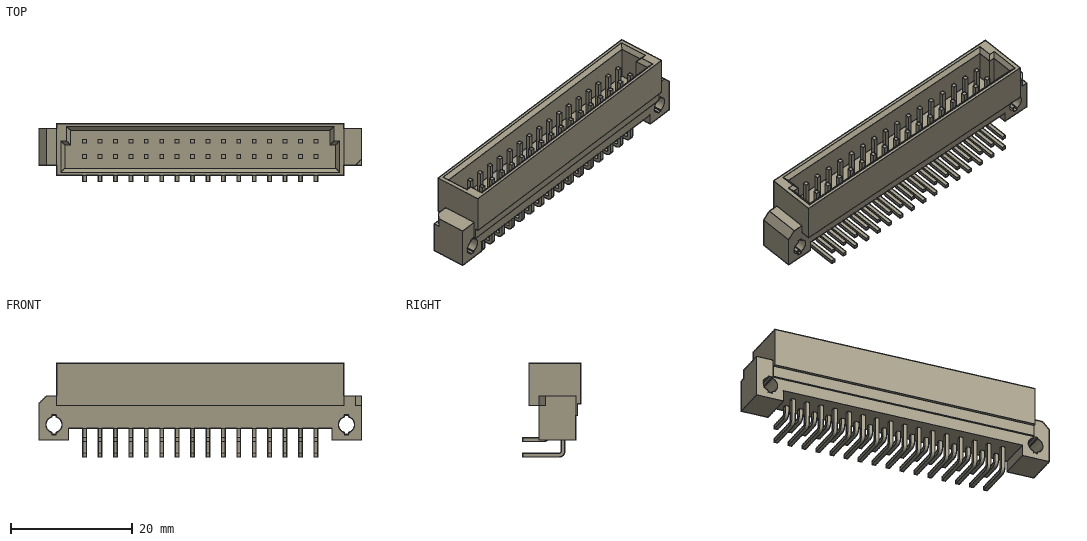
import cadquery as cq
import math

overall_length = 53.21
overall_width = 9.56
overall_height = 15.48

pin_count = 16
pitch = 2.54
pin_size = 0.64
pin_tip_depth = 1.63
bend_inner_radius = 0.32

shroud_length = 47.3
shroud_back = 4.19
shroud_width = 8.53
shroud_front = shroud_back - shroud_width
shroud_depth_front = 7.02
shroud_depth_back = 6.72
pin_reach = overall_width - shroud_width

cavity_floor_depth = 6.3
lead_in = 0.65
end_wall = 0.68
key_end_wall = 1.65
long_wall = 0.5
key_width = 2.88

shroud_back_overhang = 0.8
body_back = shroud_back - shroud_back_overhang
body_width = 6.1
body_front = body_back - body_width
foot_top_depth = 5.42
foot_bottom_depth = 12.7
body_bottom_depth = 10.75
foot_length = 4.9
foot_bevel = 1.26
corner_notch = 1.05

strip_thickness = 0.3
strip_bottom_depth = 8.65

hole_spacing = 48.2
hole_diameter = 2.62
hole_depth = 10.15
slot_width = 0.7
slot_height = 3.0
slot_mouth_height = 3.4
slot_mouth_depth = 0.6


def block(x_range, y_range, z_range):
    """Box spanning the given coordinate ranges."""
    size = [high - low for low, high in (x_range, y_range, z_range)]
    corner = (x_range[0], y_range[0], z_range[0])
    return cq.Workplane("XY").box(*size, centered=False).translate(corner)


def make_shroud():
    half = shroud_length / 2
    front_part = block((-half, half), (shroud_front, body_back), (-shroud_depth_front, 0))
    back_part = block((-half, half), (body_back, shroud_back), (-shroud_depth_back, 0))
    return front_part.union(back_part)


def cavity_outline(inset):
    """T-shaped cavity outline, drawn in from the rim outline by the given inset."""
    wide = shroud_length / 2 - end_wall - inset
    narrow = shroud_length / 2 - key_end_wall - inset
    front = shroud_front + long_wall + inset
    step = shroud_back - key_width - inset
    back = shroud_back - long_wall - inset
    return [
        (-wide, front), (wide, front), (wide, step), (narrow, step),
        (narrow, back), (-narrow, back), (-narrow, step), (-wide, step),
    ]


def make_cavity():
    rim = cq.Wire.makePolygon([cq.Vector(x, y, 0) for x, y in cavity_outline(0)], close=True)
    throat_points = [cq.Vector(x, y, -lead_in) for x, y in cavity_outline(lead_in)]
    throat = cq.Wire.makePolygon(throat_points, close=True)
    funnel = cq.Workplane(cq.Solid.makeLoft([throat, rim], True))
    well = (
        cq.Workplane("XY", origin=(0, 0, -cavity_floor_depth))
        .polyline(cavity_outline(lead_in)).close()
        .extrude(cavity_floor_depth - lead_in)
    )
    return well.union(funnel)


def make_body():
    half = overall_length / 2
    inner = half - foot_length
    outline = [
        (-half, -foot_bottom_depth), (-inner, -foot_bottom_depth),
        (-inner, -body_bottom_depth), (inner, -body_bottom_depth),
        (inner, -foot_bottom_depth), (half, -foot_bottom_depth),
        (half, -foot_top_depth), (foot_bevel - half, -foot_top_depth),
        (-half, -foot_top_depth - foot_bevel),
    ]
    return cq.Workplane("XZ", origin=(0, body_back, 0)).polyline(outline).close().extrude(body_width)


def make_strip():
    half = shroud_length / 2
    return block(
        (-half, half),
        (body_back, body_back + strip_thickness),
        (-strip_bottom_depth, -shroud_depth_back),
    )


def make_corner_notch():
    """Triangular cut in the upper front corner of the +X foot."""
    end = overall_length / 2
    corners = [(end, body_front), (end - corner_notch, body_front), (end, body_front + corner_notch)]
    return (
        cq.Workplane("XY", origin=(0, 0, -shroud_depth_front))
        .polyline(corners).close()
        .extrude(shroud_depth_front - foot_top_depth)
    )


def make_mounting_holes():
    """Round through holes, each with a narrow through slot that is taller at the front face."""
    centers = [(-hole_spacing / 2, -hole_depth), (hole_spacing / 2, -hole_depth)]
    front_face = cq.Workplane("XZ", origin=(0, body_front, 0)).pushPoints(centers)
    round_holes = front_face.circle(hole_diameter / 2).extrude(-body_width)
    slots = front_face.rect(slot_width, slot_height).extrude(-body_width)
    mouths = front_face.rect(slot_width, slot_mouth_height).extrude(-slot_mouth_depth)
    return round_holes.union(slots).union(mouths)


def make_pin(x, y, tail_bottom_depth):
    """Square pin running down from its tip and bending forward into a horizontal tail."""
    outer_radius = bend_inner_radius + pin_size
    back = y + pin_size / 2
    front = y - pin_size / 2
    tail_end = shroud_front - pin_reach
    bottom = -tail_bottom_depth
    diagonal = math.sqrt(0.5)
    bend_y = back - outer_radius
    bend_z = bottom + outer_radius
    return (
        cq.Workplane("YZ", origin=(x - pin_size / 2, 0, 0))
        .moveTo(back, -pin_tip_depth)
        .lineTo(back, bend_z)
        .threePointArc(
            (bend_y + outer_radius * diagonal, bend_z - outer_radius * diagonal),
            (bend_y, bottom),
        )
        .lineTo(tail_end, bottom)
        .lineTo(tail_end, bottom + pin_size)
        .lineTo(bend_y, bottom + pin_size)
        .threePointArc(
            (bend_y + bend_inner_radius * diagonal, bend_z - bend_inner_radius * diagonal),
            (front, bend_z),
        )
        .lineTo(front, -pin_tip_depth)
        .close()
        .extrude(pin_size)
    )


housing = make_body().union(make_shroud()).union(make_strip())
housing = housing.cut(make_cavity()).cut(make_corner_notch()).cut(make_mounting_holes())

result = housing
for index in range(pin_count):
    pin_x = (index - (pin_count - 1) / 2) * pitch
    result = result.union(make_pin(pin_x, pitch / 2, overall_height))
    result = result.union(make_pin(pin_x, -pitch / 2, overall_height - pitch))